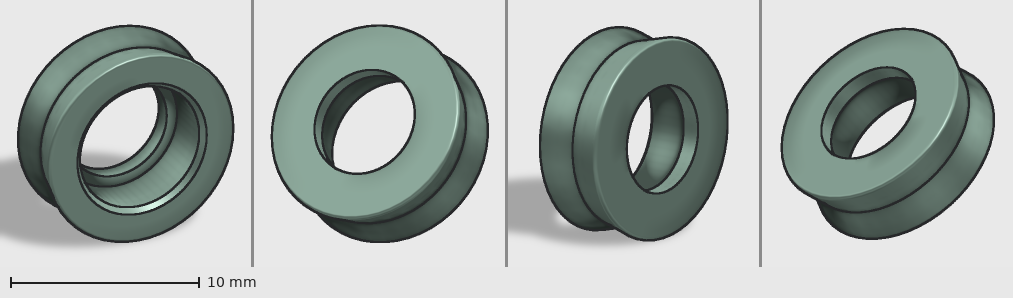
import cadquery as cq

width = 4.0
rim_radius = 5.5
groove_radius = 5.0
rim_fillet = 0.2

lip_bore_diameter = 5.8
lip_thickness = 1.0
seat_diameter = 7.0
seat_chamfer = 0.3

x_min = -width / 2
x_max = width / 2


def make_grooved_disc():
    """Solid disc with a V-groove round its rim and rounded rim corners."""
    half_profile = [
        (x_min, 0),
        (x_min, rim_radius),
        (0, groove_radius),
        (x_max, rim_radius),
        (x_max, 0),
    ]
    disc = cq.Workplane("XY").polyline(half_profile).close().revolve(360, (0, 0, 0), (1, 0, 0))
    rim_edges = disc.faces("<X or >X").edges("%CIRCLE")
    return rim_edges.fillet(rim_fillet)


def make_stepped_bore():
    """Through bore: narrow at the -X lip, wider beyond it, chamfered at the +X mouth."""
    seat_radius = seat_diameter / 2
    lip_bore_radius = lip_bore_diameter / 2
    seat_floor_x = x_min + lip_thickness
    half_profile = [
        (x_min, 0),
        (x_min, lip_bore_radius),
        (seat_floor_x, lip_bore_radius),
        (seat_floor_x, seat_radius),
        (x_max - seat_chamfer, seat_radius),
        (x_max, seat_radius + seat_chamfer),
        (x_max, 0),
    ]
    return cq.Workplane("XY").polyline(half_profile).close().revolve(360, (0, 0, 0), (1, 0, 0))


result = make_grooved_disc().cut(make_stepped_bore())